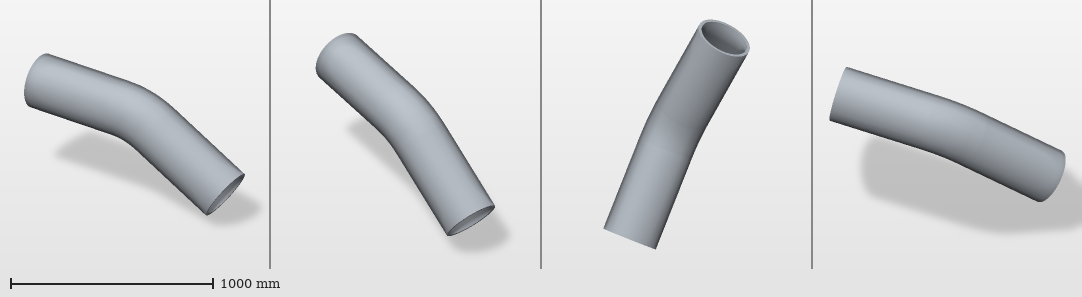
import cadquery as cq
import math

overall_length = 1171.0
outer_diameter = 280.0
inner_diameter = 247.0
bend_angle = 30.0
bend_radius = 1.5 * outer_diameter

angle = math.radians(bend_angle)
bend_reach = (bend_radius + outer_diameter / 2) * math.sin(angle)
leg_length = (overall_length - bend_reach) / (1 + math.cos(angle))

bend_start = (leg_length, 0)
bend_middle = (
    leg_length + bend_radius * math.sin(angle / 2),
    -bend_radius * (1 - math.cos(angle / 2)),
)
bend_end = (
    leg_length + bend_radius * math.sin(angle),
    -bend_radius * (1 - math.cos(angle)),
)
pipe_end = (
    bend_end[0] + leg_length * math.cos(angle),
    bend_end[1] - leg_length * math.sin(angle),
)

centre_line = (
    cq.Workplane("XZ")
    .moveTo(0, 0)
    .lineTo(*bend_start)
    .threePointArc(bend_middle, bend_end)
    .lineTo(*pipe_end)
)

result = (
    cq.Workplane("YZ")
    .circle(outer_diameter / 2)
    .circle(inner_diameter / 2)
    .sweep(centre_line)
)